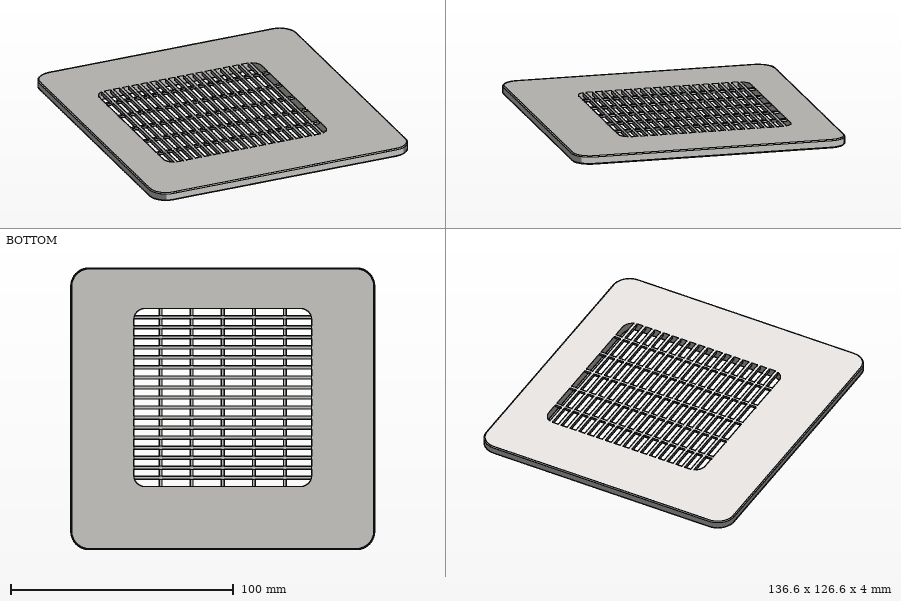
import cadquery as cq

plate_length = 136.6
plate_width = 126.6
plate_thickness = 4.0
plate_corner_radius = 8.3
edge_chamfer = 0.5

window_size = 79.9
window_corner_radius = 5.0
window_offset_y = -5.0

cross_bar_count = 5
cross_bar_pitch = 14.0
cross_bar_width = 1.4
cross_bar_height = 1.0

long_bar_count = 17
long_bar_pitch = 4.5
long_bar_width = 1.5
long_bar_height = 1.5


def rounded_block(length, width, corner_radius):
    """Block of the plate's thickness with rounded vertical corners."""
    block = cq.Workplane("XY").box(length, width, plate_thickness, centered=(True, True, False))
    return block.edges("|Z").fillet(corner_radius)


def bar_positions(count, pitch):
    """Centre positions of evenly spaced bars, symmetric about zero."""
    return [(index - (count - 1) / 2) * pitch for index in range(count)]


def bar_row(centres, size_x, size_y, height):
    """Equal bars at the given centres, flush with the top face of the plate."""
    top_plane = cq.Workplane("XY", origin=(0, 0, plate_thickness))
    return top_plane.pushPoints(centres).rect(size_x, size_y).extrude(-height)


def window_openings():
    """Window block with the grille bars removed, so that cutting it leaves the bars standing."""
    cross_centres = [(x, 0) for x in bar_positions(cross_bar_count, cross_bar_pitch)]
    long_centres = [(0, y) for y in bar_positions(long_bar_count, long_bar_pitch)]
    cross_bars = bar_row(cross_centres, cross_bar_width, window_size, cross_bar_height)
    long_bars = bar_row(long_centres, window_size, long_bar_width, long_bar_height)
    window = rounded_block(window_size, window_size, window_corner_radius)
    return window.cut(cross_bars).cut(long_bars)


plate = rounded_block(plate_length, plate_width, plate_corner_radius)
plate = plate.faces("<Z or >Z").edges().chamfer(edge_chamfer)

result = plate.cut(window_openings().translate((0, window_offset_y, 0)))